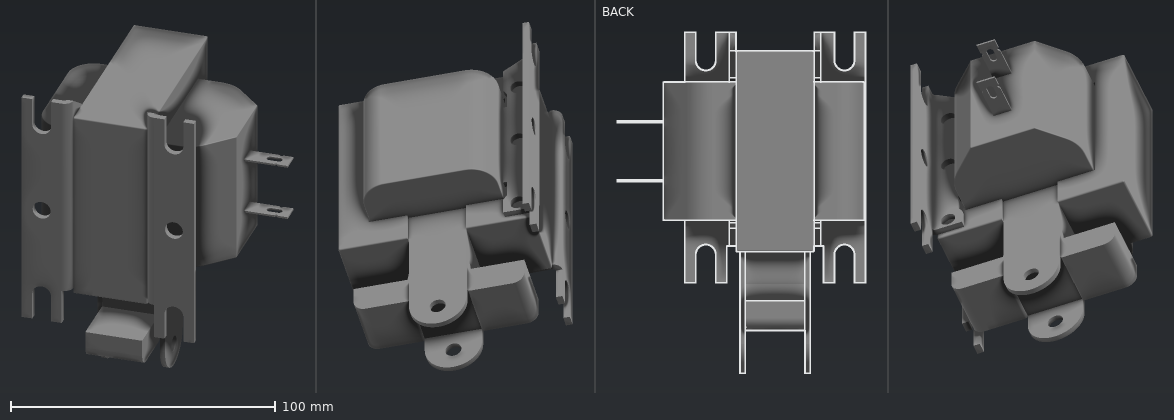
import cadquery as cq
import math


FRAME_SIDE = 76.2
FRAME_THICKNESS = 29.5
FRAME_OFFSET_Y = 0.4
FRAME_EDGE_RADIUS = 0.6
WINDOW_CLEARANCE = 0.5
SLOT_CLEARANCE = 0.3

COIL_WIDTH = 52.1
COIL_HEIGHT = 52.4
COIL_LEFT = -33.7
COIL_RIGHT = 42.3
COIL_NOSE_WIDTH = 26.1
COIL_CORNER_RADIUS = 10.3
COIL_SHOULDER_RADIUS = 12.9
COIL_RIM_RADIUS = 0.4
TERMINAL_END = 59.6
TERMINAL_WIDTH = 7.4
TERMINAL_THICKNESS = 0.8
TERMINAL_SPACING = 22.2
TERMINAL_SLOT_X = 53.3
TERMINAL_SLOT_LENGTH = 6.2
TERMINAL_SLOT_WIDTH = 2.7
TERMINAL_NOTCH_X = 55.0
TERMINAL_NOTCH_DIAGONAL = 1.7

BRACKET_THICKNESS = 2.6
BRACKET_INNER_RADIUS = 0.9
BRACKET_FRONT = -40.8
BRACKET_TOP = 45.0
BRACKET_BOTTOM = -49.8
FLANGE_END = 34.2
WEB_EDGE_Y = -26.6
WEB_SHOULDER_Z = 38.1
WEB_BOTTOM = -35.9
WEB_HOLE_DIAMETER = 6.0
WEB_HOLE_Y = -32.3
WEB_HOLE_HEIGHTS = (28.5, 1.2, -31.9)
RELIEF_DEPTH = 1.5
RELIEF_RAMP = 2.2
UPPER_RELIEF_SPAN = (19.1, 27.9)
LOWER_RELIEF_SPAN = (-20.1, -29.2)
MOUNTING_SLOT_WIDTH = 7.5
MOUNTING_SLOT_DEPTH = 14.5
MOUNTING_HOLE_DIAMETER = 7.1

PLUNGER_WIDTH = 22.3
PLUNGER_TOP = 0.0
STRAP_OUTER_SPAN = 26.7
STRAP_THICKNESS = 2.1
STRAP_BOTTOM = -84.0
PIN_HOLE_DIAMETER = 6.3
PIN_HOLE_Z = -75.0
FLARE_TOP = -50.2
FLARE_WIDTH = 24.5
CROSSBAR_TOP = -56.5
CROSSBAR_BOTTOM = -67.9
CROSSBAR_WIDTH = 66.6
CROSSBAR_CORNER_RADIUS = 4.6
CROSSBAR_RECESS_DEPTH = 1.3
CROSSBAR_RECESS_RIM_RADIUS = 1.0

FRAME_HALF = FRAME_THICKNESS / 2
PLUNGER_HALF = PLUNGER_WIDTH / 2
BEND_OUTER_RADIUS = BRACKET_INNER_RADIUS + BRACKET_THICKNESS
BEND_X = FRAME_HALF + BEND_OUTER_RADIUS
BEND_Y = BRACKET_FRONT + BEND_OUTER_RADIUS
CORE_SPAN = STRAP_OUTER_SPAN - 2 * STRAP_THICKNESS


def centred_box(size_x, size_y, z_low, z_high):
    """Box centred on the plunger axis, between two heights."""
    return cq.Workplane("XY", origin=(0, 0, z_low)).box(
        size_x, size_y, z_high - z_low, centered=(True, True, False)
    )


def make_frame():
    half_side = FRAME_SIDE / 2
    stack = centred_box(FRAME_THICKNESS, FRAME_SIDE, -half_side, half_side).edges().fillet(FRAME_EDGE_RADIUS)
    stack = stack.translate((0, FRAME_OFFSET_Y, 0))
    window_width = COIL_WIDTH + 2 * WINDOW_CLEARANCE
    window = centred_box(FRAME_THICKNESS, window_width, -COIL_HEIGHT / 2, COIL_HEIGHT / 2)
    slot_width = PLUNGER_WIDTH + 2 * SLOT_CLEARANCE
    slot = centred_box(FRAME_THICKNESS, slot_width, -half_side, 0)
    return stack.cut(window).cut(slot)


def make_terminal(z):
    """Solder lug that leaves the coil's nose, with an eyelet and a notch in each side."""
    blank = cq.Workplane("XY", origin=(COIL_RIGHT, 0, z)).box(
        TERMINAL_END - COIL_RIGHT, TERMINAL_WIDTH, TERMINAL_THICKNESS, centered=(False, True, True)
    )
    level = cq.Workplane("XY", origin=(0, 0, z - TERMINAL_THICKNESS))
    cut_height = 2 * TERMINAL_THICKNESS
    eyelet = level.center(TERMINAL_SLOT_X, 0).slot2D(TERMINAL_SLOT_LENGTH, TERMINAL_SLOT_WIDTH)
    eyelet = eyelet.extrude(cut_height)
    notches = (
        level.pushPoints([(TERMINAL_NOTCH_X, side * TERMINAL_WIDTH / 2) for side in (-1, 1)])
        .polygon(4, TERMINAL_NOTCH_DIAGONAL)
        .extrude(cut_height)
    )
    return blank.cut(eyelet).cut(notches)


def make_coil():
    half_width = COIL_WIDTH / 2
    half_nose = COIL_NOSE_WIDTH / 2
    shoulder_x = COIL_RIGHT - (half_width - half_nose)
    winding = (
        cq.Workplane("XY", origin=(0, 0, -COIL_HEIGHT / 2))
        .polyline([
            (COIL_LEFT, -half_width),
            (shoulder_x, -half_width),
            (COIL_RIGHT, -half_nose),
            (COIL_RIGHT, half_nose),
            (shoulder_x, half_width),
            (COIL_LEFT, half_width),
        ])
        .close()
        .extrude(COIL_HEIGHT)
    )
    winding = winding.edges("|Z").edges("<X").fillet(COIL_CORNER_RADIUS)
    for side in (-1, 1):
        shoulder = cq.selectors.NearestToPointSelector((shoulder_x, side * half_width, 0))
        winding = winding.edges("|Z").edges(shoulder).fillet(COIL_SHOULDER_RADIUS)
    winding = winding.faces("|Z").edges().fillet(COIL_RIM_RADIUS)
    bore = centred_box(STRAP_OUTER_SPAN, PLUNGER_WIDTH, -COIL_HEIGHT, PLUNGER_TOP)
    coil = winding.cut(bore)
    for z in (-TERMINAL_SPACING / 2, TERMINAL_SPACING / 2):
        coil = coil.union(make_terminal(z))
    return coil


def bracket_section():
    """L-shaped section of the bracket on the +X face: web along Y, flange along X."""
    outer_offset = BEND_OUTER_RADIUS * math.cos(math.pi / 4)
    inner_offset = BRACKET_INNER_RADIUS * math.cos(math.pi / 4)
    return (
        cq.Workplane("XY", origin=(0, 0, BRACKET_BOTTOM))
        .moveTo(FRAME_HALF, WEB_EDGE_Y)
        .lineTo(FRAME_HALF, BEND_Y)
        .threePointArc((BEND_X - outer_offset, BEND_Y - outer_offset), (BEND_X, BRACKET_FRONT))
        .lineTo(FLANGE_END, BRACKET_FRONT)
        .lineTo(FLANGE_END, BRACKET_FRONT + BRACKET_THICKNESS)
        .lineTo(BEND_X, BRACKET_FRONT + BRACKET_THICKNESS)
        .threePointArc(
            (BEND_X - inner_offset, BEND_Y - inner_offset),
            (BEND_X - BRACKET_INNER_RADIUS, BEND_Y),
        )
        .lineTo(FRAME_HALF + BRACKET_THICKNESS, WEB_EDGE_Y)
        .close()
    )


def make_bracket():
    """Bracket on the +X face of the frame."""
    bracket = bracket_section().extrude(BRACKET_TOP - BRACKET_BOTTOM)

    web_side = cq.Workplane("YZ")
    slope = web_side.polyline([
        (BEND_Y, BRACKET_TOP), (WEB_EDGE_Y, BRACKET_TOP), (WEB_EDGE_Y, WEB_SHOULDER_Z)
    ]).close().extrude(BEND_X)
    below_web = cq.Workplane("XY", origin=(0, BRACKET_FRONT, BRACKET_BOTTOM)).box(
        BEND_X, WEB_EDGE_Y - BRACKET_FRONT, WEB_BOTTOM - BRACKET_BOTTOM, centered=False
    )
    bracket = bracket.cut(slope).cut(below_web)

    for inner_z, outer_z in (UPPER_RELIEF_SPAN, LOWER_RELIEF_SPAN):
        ramp = RELIEF_RAMP if inner_z > outer_z else -RELIEF_RAMP
        relief = web_side.polyline([
            (WEB_EDGE_Y, inner_z),
            (WEB_EDGE_Y - RELIEF_DEPTH, inner_z),
            (WEB_EDGE_Y - RELIEF_DEPTH, outer_z + ramp),
            (WEB_EDGE_Y, outer_z),
        ]).close().extrude(BEND_X)
        bracket = bracket.cut(relief)

    web_holes = (
        web_side.pushPoints([(WEB_HOLE_Y, z) for z in WEB_HOLE_HEIGHTS])
        .circle(WEB_HOLE_DIAMETER / 2)
        .extrude(BEND_X)
    )
    return bracket.cut(web_holes).cut(mounting_cuts((BEND_X + FLANGE_END) / 2))


def mounting_cuts(centre_x):
    """Round hole at the flange's mid height and an open-ended slot at each end."""
    centre_z = (BRACKET_TOP + BRACKET_BOTTOM) / 2
    depth = 2 * BRACKET_THICKNESS
    flange_side = cq.Workplane("XZ", origin=(centre_x, BRACKET_FRONT + depth, 0))
    cuts = flange_side.center(0, centre_z).circle(MOUNTING_HOLE_DIAMETER / 2).extrude(depth)
    for end_z in (BRACKET_TOP, BRACKET_BOTTOM):
        slot = flange_side.center(0, end_z).slot2D(2 * MOUNTING_SLOT_DEPTH, MOUNTING_SLOT_WIDTH, 90)
        cuts = cuts.add(slot.extrude(depth))
    return cuts.combine()


def make_core():
    """T-shaped core: stem, flare into the crossbar, and a shallow recess under the stem."""
    half_bar = CROSSBAR_WIDTH / 2
    half_flare = FLARE_WIDTH / 2
    core = (
        cq.Workplane("YZ", origin=(-CORE_SPAN / 2, 0, 0))
        .polyline([
            (-PLUNGER_HALF, PLUNGER_TOP - STRAP_THICKNESS),
            (-PLUNGER_HALF, FLARE_TOP),
            (-half_flare, CROSSBAR_TOP),
            (-half_bar, CROSSBAR_TOP),
            (-half_bar, CROSSBAR_BOTTOM),
            (half_bar, CROSSBAR_BOTTOM),
            (half_bar, CROSSBAR_TOP),
            (half_flare, CROSSBAR_TOP),
            (PLUNGER_HALF, FLARE_TOP),
            (PLUNGER_HALF, PLUNGER_TOP - STRAP_THICKNESS),
        ])
        .close()
        .extrude(CORE_SPAN)
    )
    core = core.edges("|X").edges("<Z").fillet(CROSSBAR_CORNER_RADIUS)
    recess_top = CROSSBAR_BOTTOM + CROSSBAR_RECESS_DEPTH
    recess = centred_box(CORE_SPAN, PLUNGER_WIDTH, CROSSBAR_BOTTOM, recess_top)
    core = core.cut(recess)
    for side in (-1, 1):
        rim = cq.selectors.NearestToPointSelector((0, side * PLUNGER_HALF, CROSSBAR_BOTTOM))
        core = core.edges("|X").edges(rim).fillet(CROSSBAR_RECESS_RIM_RADIUS)
    return core


def make_strap():
    """U-shaped strap that passes over the core and ends in two rounded, drilled legs."""
    arc_z = STRAP_BOTTOM + PLUNGER_HALF
    blank = (
        cq.Workplane("YZ", origin=(-STRAP_OUTER_SPAN / 2, 0, 0))
        .moveTo(-PLUNGER_HALF, PLUNGER_TOP)
        .lineTo(-PLUNGER_HALF, arc_z)
        .threePointArc((0, STRAP_BOTTOM), (PLUNGER_HALF, arc_z))
        .lineTo(PLUNGER_HALF, PLUNGER_TOP)
        .close()
        .extrude(STRAP_OUTER_SPAN)
    )
    between_legs = centred_box(CORE_SPAN, PLUNGER_WIDTH, STRAP_BOTTOM, PLUNGER_TOP - STRAP_THICKNESS)
    pin_hole = (
        cq.Workplane("YZ", origin=(-STRAP_OUTER_SPAN / 2, 0, PIN_HOLE_Z))
        .circle(PIN_HOLE_DIAMETER / 2)
        .extrude(STRAP_OUTER_SPAN)
    )
    return blank.cut(between_legs).cut(pin_hole)


frame = make_frame()
coil = make_coil()
core = make_core()
strap = make_strap()
right_bracket = make_bracket()
brackets = [right_bracket, right_bracket.mirror("YZ")]

result = cq.Compound.makeCompound([
    frame.val(),
    coil.val(),
    core.val(),
    strap.val(),
    *[bracket.val() for bracket in brackets],
])